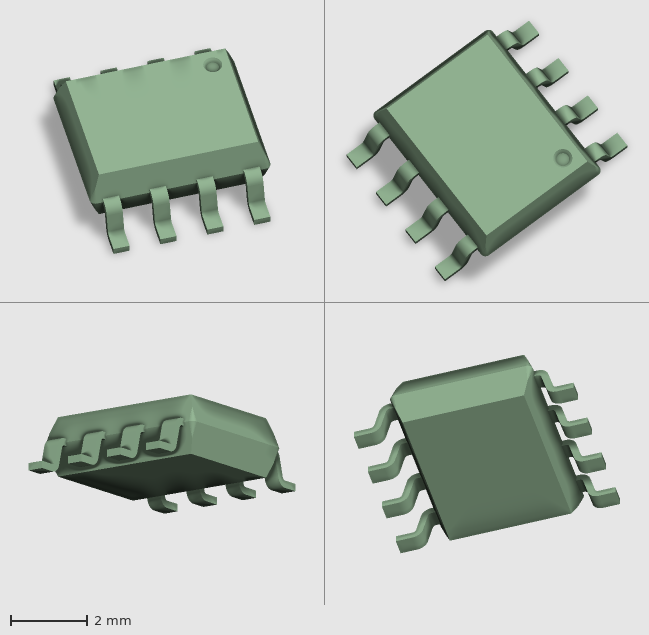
import cadquery as cq
import math

BODY_WIDTH = 3.9
BODY_LENGTH = 4.9
BODY_HEIGHT = 1.6
BODY_CORNER_RADIUS = 0.15
DRAFT_ANGLE = 20.0

OVERALL_WIDTH = 6.0
OVERALL_HEIGHT = 1.7
LEADS_PER_SIDE = 4
LEAD_PITCH = 1.27
LEAD_WIDTH = 0.44
LEAD_THICKNESS = 0.2
BEND_INNER_RADIUS = 0.1
BEND_ANGLE = 75.0
FOOT_LENGTH = 0.455
LEAD_EMBED = 0.18

DIMPLE_EDGE_OFFSET = 0.75
DIMPLE_TOP_DIAMETER = 0.5
DIMPLE_FLOOR_DIAMETER = 0.33
DIMPLE_DEPTH = 0.1

parting_z = OVERALL_HEIGHT - BODY_HEIGHT / 2


def half_body(height):
    """One drafted half of the body, rising or falling (negative height) from the parting plane."""
    outline = (
        cq.Sketch()
        .rect(BODY_WIDTH, BODY_LENGTH)
        .vertices()
        .fillet(BODY_CORNER_RADIUS)
    )
    return (
        cq.Workplane("XY", origin=(0, 0, parting_z))
        .placeSketch(outline)
        .extrude(height, taper=DRAFT_ANGLE)
    )


def make_body():
    return half_body(BODY_HEIGHT / 2).union(half_body(-BODY_HEIGHT / 2))


def lead_path():
    """Centreline of a left-hand lead in the XZ plane, from foot tip into the body."""
    radius = BEND_INNER_RADIUS + LEAD_THICKNESS / 2
    angle = math.radians(BEND_ANGLE)
    foot_z = LEAD_THICKNESS / 2
    bend_rise = radius * (1 - math.cos(angle))
    bend_run = radius * math.sin(angle)
    shank_rise = parting_z - foot_z - 2 * bend_rise
    shank_run = shank_rise / math.tan(angle)
    mid_bend_rise = radius * (1 - math.cos(angle / 2))
    mid_bend_run = radius * math.sin(angle / 2)

    tip_x = -OVERALL_WIDTH / 2
    bend_x = tip_x + FOOT_LENGTH
    shoulder_x = bend_x + 2 * bend_run + shank_run
    return (
        cq.Workplane("XZ")
        .moveTo(tip_x, foot_z)
        .lineTo(bend_x, foot_z)
        .threePointArc(
            (bend_x + mid_bend_run, foot_z + mid_bend_rise),
            (bend_x + bend_run, foot_z + bend_rise),
        )
        .line(shank_run, shank_rise)
        .threePointArc(
            (shoulder_x - mid_bend_run, parting_z - mid_bend_rise),
            (shoulder_x, parting_z),
        )
        .lineTo(-BODY_WIDTH / 2 + LEAD_EMBED, parting_z)
    )


def make_lead():
    foot_section = cq.Workplane("YZ", origin=(-OVERALL_WIDTH / 2, 0, LEAD_THICKNESS / 2))
    return foot_section.rect(LEAD_WIDTH, LEAD_THICKNESS).sweep(lead_path())


def make_dimple():
    dimple_x = -BODY_WIDTH / 2 + DIMPLE_EDGE_OFFSET
    dimple_y = BODY_LENGTH / 2 - DIMPLE_EDGE_OFFSET
    return (
        cq.Workplane("XY", origin=(dimple_x, dimple_y, OVERALL_HEIGHT))
        .circle(DIMPLE_TOP_DIAMETER / 2)
        .workplane(offset=-DIMPLE_DEPTH)
        .circle(DIMPLE_FLOOR_DIAMETER / 2)
        .loft()
    )


result = make_body().cut(make_dimple())
left_lead = make_lead()
right_lead = left_lead.mirror("YZ")
for index in range(LEADS_PER_SIDE):
    lead_y = (index - (LEADS_PER_SIDE - 1) / 2) * LEAD_PITCH
    for lead in (left_lead, right_lead):
        result = result.union(lead.translate((0, lead_y, 0)))